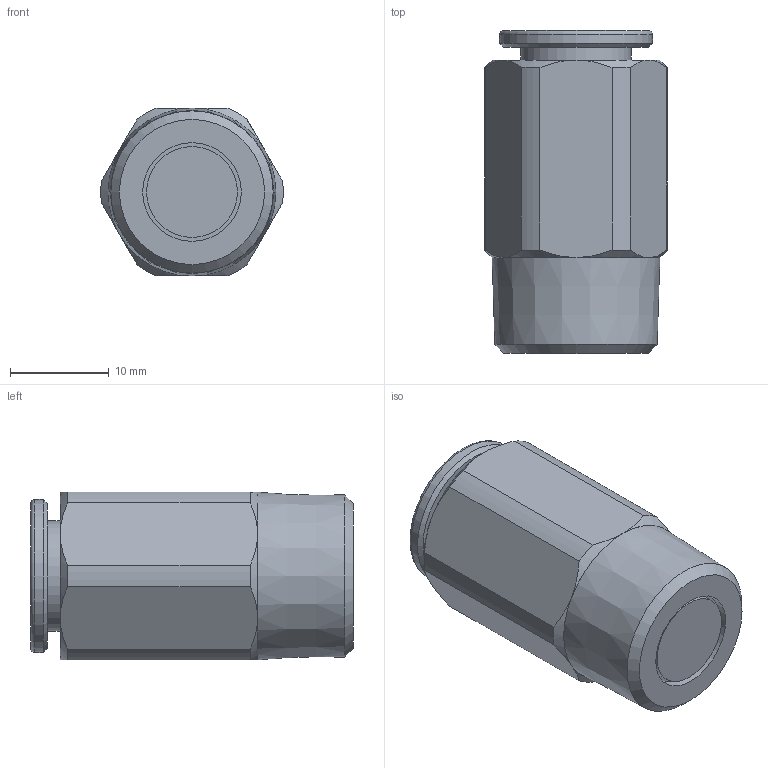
import cadquery as cq
import math


hex_start_y = 9.7
hex_end_y = 29.7
collar_start_y = 31.0
total_length = 32.7

gauge_plane_y = 4.5
thread_gauge_diameter = 16.662
thread_taper = 1 / 16
end_face_diameter = 14.7
end_chamfer_length = 0.9

across_flats = 17.0
corner_diameter = 18.5
hex_chamfer = (corner_diameter - across_flats) / 2

neck_diameter = 11.2
collar_diameter = 15.5
collar_edge = 0.4

bore_diameter = 10.0
plug_diameter = 9.2
bore_depth = 1.0
plug_recess = 0.2


def thread_radius(y):
    """Radius of the thread cone at a distance y from the end face."""
    return (thread_gauge_diameter + thread_taper * (y - gauge_plane_y)) / 2


def revolve_about_y(profile):
    """Turn a closed XY profile fully around the Y axis."""
    return profile.close().revolve(360, (0, 0, 0), (0, 1, 0))


def cylinder(diameter, start_y, end_y):
    """Cylinder on the Y axis between two stations."""
    disc = cq.Workplane("XZ", origin=(0, start_y, 0)).circle(diameter / 2)
    return disc.extrude(start_y - end_y)


def make_thread_end():
    """Tapered end with its lead-in chamfer."""
    profile = (
        cq.Workplane("XY")
        .lineTo(end_face_diameter / 2, 0)
        .lineTo(thread_radius(end_chamfer_length), end_chamfer_length)
        .lineTo(thread_radius(hex_start_y), hex_start_y)
        .lineTo(0, hex_start_y)
    )
    return revolve_about_y(profile)


def make_hex_body():
    """Hexagon, flats facing +Z and -Z, trimmed by a chamfered round blank."""
    across_corners = across_flats / math.cos(math.pi / 6)
    hexagon = (
        cq.Workplane("XZ", origin=(0, hex_start_y, 0))
        .polygon(6, across_corners)
        .extrude(hex_start_y - hex_end_y)
    )
    blank = cylinder(corner_diameter, hex_start_y, hex_end_y).faces("<Y or >Y").chamfer(hex_chamfer)
    return hexagon.intersect(blank)


def make_collar():
    """Neck and release collar, rounded outside and chamfered towards the neck."""
    neck = cylinder(neck_diameter, hex_end_y, collar_start_y)
    collar = cylinder(collar_diameter, collar_start_y, total_length)
    collar = collar.faces("<Y").chamfer(collar_edge)
    collar = collar.faces(">Y").edges().fillet(collar_edge)
    return neck.union(collar)


def make_plug_clearance():
    """Space cut from the bore: the recess over the plug and the gap around it."""
    bore = cylinder(bore_diameter, 0, bore_depth)
    plug = cylinder(plug_diameter, plug_recess, bore_depth)
    return bore.cut(plug)


result = (
    make_thread_end()
    .union(make_hex_body())
    .union(make_collar())
    .cut(make_plug_clearance())
)